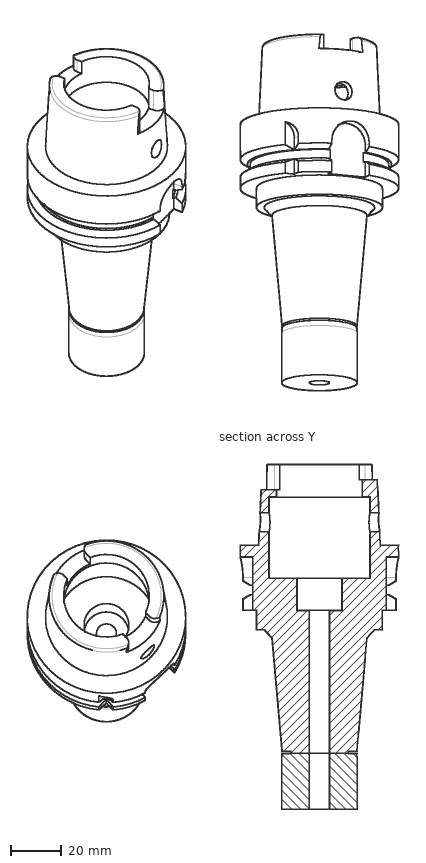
import cadquery as cq
import math

total_height = 137.0
flange_top = 105.0
groove_upper_edge = 90.7
groove_upper = 88.9
groove_lower = 85.2
groove_lower_edge = 83.6
flange_bottom = 79.0
collar_bottom = 71.2
shank_top = 68.0
shank_bottom = 23.0
nut_top = 22.2
nut_band_bottom = 20.1

flange_radius = 31.5
groove_lip_radius = 28.6
groove_radius = 27.5
collar_radius = 25.1
collar_cone_radius = 21.9
shank_top_radius = 18.9
shank_bottom_radius = 15.0
neck_radius = 11.5
nut_radius = 15.1
nut_band_radius = 15.0

taper_base_radius = 24.2
taper_top_radius = 22.7
taper_slope = (taper_base_radius - taper_top_radius) / (total_height - flange_top)
rim_radius = 1.1

mouth_radius = 17.0
clamp_radius = 20.0
clamp_top = 124.0
clamp_floor = 91.8
tube_radius = 8.9
tube_floor = flange_bottom
coolant_radius = 4.0

cross_hole_radius = 3.7
cross_hole_height = 114.0

drive_slot_half_width = 6.3
drive_slot_corner = 3.0
drive_slot_tip = 21.0
left_slot_floor = 131.0
right_slot_floor = 127.0

gripper_radius = 8.1
gripper_floor = 26.6
gripper_top = 100.1
notch_floor = 20.4
notch_wall = 20.0
notch_radius = 6.7
notch_arc_center = 93.8

clearance = 2.7


def bore_section(radius, bottom, top):
    """Round section of the bore, centred on the spindle axis."""
    return cq.Workplane("XY").workplane(offset=bottom).circle(radius).extrude(top - bottom)


def arbor_outside():
    """Turned outside of the arbor: neck, shank, collar, flange and hollow taper."""
    rim_base_radius = taper_top_radius + taper_slope * rim_radius
    rim_base_height = total_height - rim_radius
    rim_top_radius = rim_base_radius - rim_radius
    rim_reach = rim_radius * math.sqrt(0.5)
    rim_middle = (rim_top_radius + rim_reach, rim_base_height + rim_reach)
    return (
        cq.Workplane("XZ")
        .moveTo(0, nut_top)
        .lineTo(neck_radius, nut_top)
        .lineTo(neck_radius, shank_bottom)
        .lineTo(shank_bottom_radius, shank_bottom)
        .lineTo(shank_top_radius, shank_top)
        .lineTo(collar_cone_radius, collar_bottom)
        .lineTo(collar_radius, collar_bottom)
        .lineTo(collar_radius, flange_bottom)
        .lineTo(flange_radius, flange_bottom)
        .lineTo(flange_radius, groove_lower_edge)
        .lineTo(groove_lip_radius, groove_lower)
        .lineTo(groove_radius, groove_lower)
        .lineTo(groove_radius, groove_upper)
        .lineTo(groove_lip_radius, groove_upper)
        .lineTo(flange_radius, groove_upper_edge)
        .lineTo(flange_radius, flange_top)
        .lineTo(taper_base_radius, flange_top)
        .lineTo(rim_base_radius, rim_base_height)
        .threePointArc(rim_middle, (rim_top_radius, total_height))
        .lineTo(0, total_height)
        .close()
        .revolve(360, (0, 0), (0, 1))
    )


def arbor_bores():
    """Stepped bore: mouth, wider clamping chamber, coolant tube seat and coolant hole."""
    return (
        bore_section(mouth_radius, clamp_top, total_height + clearance)
        .union(bore_section(clamp_radius, clamp_floor, clamp_top))
        .union(bore_section(tube_radius, tube_floor, clamp_floor))
        .union(bore_section(coolant_radius, nut_top - clearance, tube_floor))
    )


def cross_hole():
    """Hole along X through both walls of the hollow taper."""
    length = 2 * (taper_base_radius + clearance)
    return (
        cq.Workplane("YZ")
        .workplane(offset=-length / 2)
        .center(0, cross_hole_height)
        .circle(cross_hole_radius)
        .extrude(length)
    )


def drive_slot(side, floor):
    """Rim slot on the side * X side whose outer corners are rounded."""
    arc_start = side * (drive_slot_tip - drive_slot_corner)
    tip = side * drive_slot_tip
    outside = side * (taper_base_radius + clearance)
    near = drive_slot_half_width
    far = near + drive_slot_corner
    arc_x = arc_start + side * drive_slot_corner * math.sqrt(0.5)
    arc_y = far - drive_slot_corner * math.sqrt(0.5)
    return (
        cq.Workplane("XY")
        .workplane(offset=floor)
        .moveTo(0, -near)
        .lineTo(arc_start, -near)
        .threePointArc((arc_x, -arc_y), (tip, -far))
        .lineTo(tip, -far - clearance)
        .lineTo(outside, -far - clearance)
        .lineTo(outside, far + clearance)
        .lineTo(tip, far + clearance)
        .lineTo(tip, far)
        .threePointArc((arc_x, arc_y), (arc_start, near))
        .lineTo(0, near)
        .close()
        .extrude(total_height + clearance - floor)
    )


def round_top_slot(center_y, arc_center, radius, floor):
    """Slot cut into the -X side of the flange down to x = -floor, with a round upper end."""
    return (
        cq.Workplane("YZ")
        .workplane(offset=-flange_radius - clearance)
        .moveTo(center_y - radius, flange_bottom - clearance)
        .lineTo(center_y + radius, flange_bottom - clearance)
        .lineTo(center_y + radius, arc_center)
        .threePointArc((center_y, arc_center + radius), (center_y - radius, arc_center))
        .close()
        .extrude(flange_radius + clearance - floor)
    )


def make_arbor():
    gripper_slot = round_top_slot(0, gripper_top - gripper_radius, gripper_radius, gripper_floor)
    notch = round_top_slot(notch_wall + notch_radius, notch_arc_center, notch_radius, notch_floor)
    return (
        arbor_outside()
        .cut(arbor_bores())
        .cut(cross_hole())
        .cut(drive_slot(-1, left_slot_floor))
        .cut(drive_slot(1, right_slot_floor))
        .cut(gripper_slot)
        .cut(gripper_slot.mirror("YZ"))
        .cut(notch)
    )


def make_nut():
    """Clamping nut below the neck, with a slightly conical upper band."""
    return (
        cq.Workplane("XZ")
        .moveTo(coolant_radius, 0)
        .lineTo(nut_radius, 0)
        .lineTo(nut_radius, nut_band_bottom)
        .lineTo(nut_band_radius, nut_top)
        .lineTo(coolant_radius, nut_top)
        .close()
        .revolve(360, (0, 0), (0, 1))
    )


arbor = make_arbor()
nut = make_nut()
result = cq.Compound.makeCompound([arbor.val(), nut.val()])